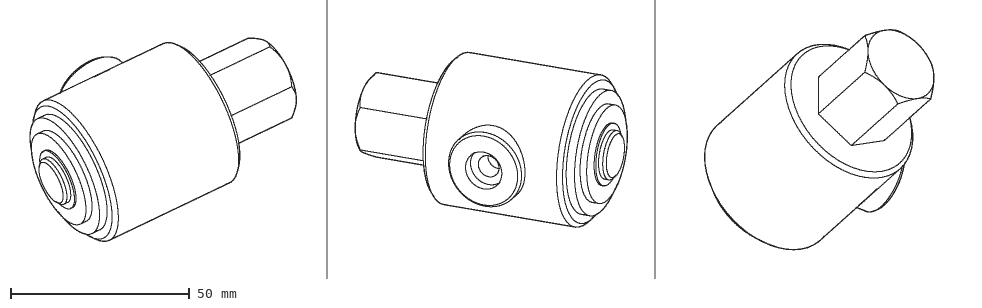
import cadquery as cq
import math


body_diameter = 43.18
body_length = 42.67
body_chamfer = 1.27

hex_sides = 6
hex_across_flats = 22.225
hex_length = 24.89
hex_corner_chamfer_length = 1.58

front_steps = [
    (35.56, 2.54),
    (27.94, 2.03),
    (17.78, 0.51),
]
tip_diameter = 13.97
tip_length = 2.04
tip_chamfer = 0.76

port_diameter = 22.35
port_reach = 24.89
port_setback = 20.6
port_chamfer_radial = 0.76
port_chamfer_axial = 0.95
port_counterbore_diameter = 11.1
port_counterbore_depth = 3.43
port_bore_diameter = 6.35
port_bore_depth = 10.0

hex_across_corners = hex_across_flats / math.cos(math.pi / hex_sides)


def forward_cylinder(diameter, length, y_start):
    """Cylinder on the main axis that grows from y_start toward -Y."""
    plane = cq.Workplane("XZ", origin=(0, y_start, 0))
    return plane.circle(diameter / 2).extrude(length)


def make_body():
    body = forward_cylinder(body_diameter, body_length, 0)
    return body.faces("<Y or >Y").chamfer(body_chamfer)


def make_front_end():
    y_start = -body_length
    front_end = cq.Workplane("XZ")
    for diameter, length in front_steps:
        front_end = front_end.union(forward_cylinder(diameter, length, y_start))
        y_start -= length
    tip = forward_cylinder(tip_diameter, tip_length, y_start)
    return front_end.union(tip.faces("<Y").chamfer(tip_chamfer))


def make_hex_shank():
    hexagon = (
        cq.Workplane("XZ")
        .polygon(hex_sides, hex_across_corners)
        .extrude(-hex_length)
        .rotate((0, 0, 0), (0, 1, 0), 180 / hex_sides)
    )
    envelope = (
        cq.Workplane("XY")
        .lineTo(hex_across_corners / 2, 0)
        .lineTo(hex_across_corners / 2, hex_length - hex_corner_chamfer_length)
        .lineTo(hex_across_flats / 2, hex_length)
        .lineTo(0, hex_length)
        .close()
        .revolve(360, (0, 0, 0), (0, 1, 0))
    )
    return hexagon.intersect(envelope)


def port_cylinder(diameter, depth):
    """Cylinder on the port axis that runs inward from the port face."""
    plane = cq.Workplane("YZ", origin=(-port_reach, -port_setback, 0))
    return plane.circle(diameter / 2).extrude(depth)


def make_port_boss():
    boss = port_cylinder(port_diameter, port_reach)
    return boss.faces("<X").chamfer(port_chamfer_axial, port_chamfer_radial)


def make_port_hole():
    counterbore = port_cylinder(port_counterbore_diameter, port_counterbore_depth)
    return counterbore.union(port_cylinder(port_bore_diameter, port_bore_depth))


result = (
    make_body()
    .union(make_front_end())
    .union(make_hex_shank())
    .union(make_port_boss())
    .cut(make_port_hole())
)